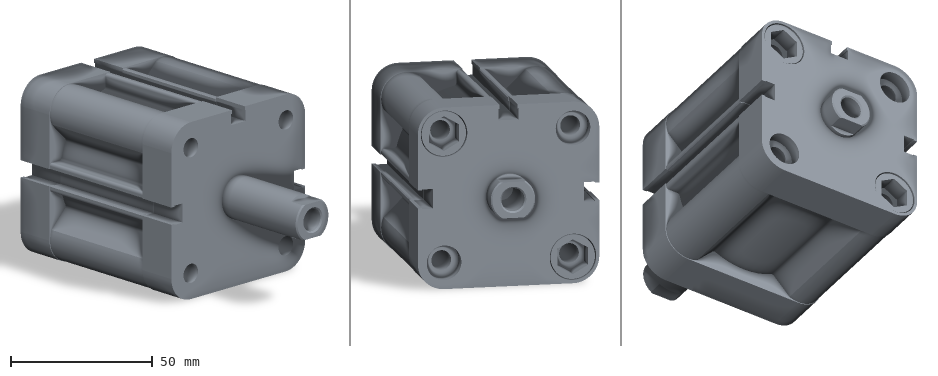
import cadquery as cq
import math


cap_length = 14.7
barrel_length = 47.3
housing_length = barrel_length + 2 * cap_length

side = 65.5
bolt_offset = 23.3
cap_corner_radius = side / 2 - bolt_offset

barrel_inset = 0.2
barrel_half = side / 2 - barrel_inset
arm_end_radius = cap_corner_radius - barrel_inset
tube_radius = 27.6
arm_width = 17.3
arm_angles = (45, 135, 225, 315)
arm_root_fillet = 1.0
rib_half_width = 5.4
rib_top_fillet = 1.1
rib_root_fillet = 1.0

slot_angles = (-90, 0, 90)
cap_slot_lip_half = 3.2
cap_slot_half = 3.5
cap_slot_depth = 5.5
slot_lip_thickness = 1.5
slot_lip_chamfer = 0.4

bolt_hole_diameter = 7.1
counterbore_diameter = 12.5
counterbore_depth = 4.8

screw_diameter = 16.0
screw_length = 8.2
screw_clearance = 0.4
screw_setback = 0.4
socket_across_flats = 10.9
socket_depth = 6.4

rod_length = 122.5
rod_diameter = 16.0
rod_start = -7.8
rod_chamfer = 0.5
flats_across = 13.0
flats_length = 6.0
flats_shoulder_run = 0.4
rod_hole_diameter = 8.3
rod_hole_mouth_diameter = 9.4
rod_hole_depth = 19.6
drill_point_angle = 118

screw_corners = [(bolt_offset, bolt_offset), (-bolt_offset, -bolt_offset)]
plain_corners = [(-bolt_offset, bolt_offset), (bolt_offset, -bolt_offset)]
bolt_corners = screw_corners + plain_corners

tolerance = 0.01


def section_plane(x):
    """Cross-section plane at x, with local axes along Y and Z."""
    return cq.Workplane("YZ", origin=(x, 0, 0))


def about_axis(body, angle):
    return body.rotate((0, 0, 0), (1, 0, 0), angle)


def make_cap(x):
    return (
        section_plane(x).rect(side, side).extrude(cap_length)
        .edges("|X").fillet(cap_corner_radius)
    )


def make_rib():
    """Raised bar on top of the tube that carries a slot."""
    return (
        section_plane(cap_length)
        .center(0, barrel_half / 2).rect(2 * rib_half_width, barrel_half).extrude(barrel_length)
        .edges("|X and >Z").fillet(rib_top_fillet)
    )


def is_root(edge):
    """True for a lengthwise edge where an arm or a rib meets the tube."""
    middle = edge.Center()
    return abs(math.hypot(middle.y, middle.z) - tube_radius) < tolerance


def is_rib_root(edge):
    middle = edge.Center()
    return is_root(edge) and min(abs(middle.y), abs(middle.z)) < rib_half_width + tolerance


def is_arm_root(edge):
    return is_root(edge) and not is_rib_root(edge)


def make_arm():
    """Flat-sided arm on top of the tube, with a rounded end about a bolt axis."""
    half_width = arm_width / 2
    bolt_radius = math.hypot(bolt_offset, bolt_offset)
    flat_end = bolt_radius + math.sqrt(arm_end_radius**2 - half_width**2)
    return (
        section_plane(cap_length)
        .moveTo(-half_width, 0)
        .lineTo(-half_width, flat_end)
        .threePointArc((0, bolt_radius + arm_end_radius), (half_width, flat_end))
        .lineTo(half_width, 0)
        .close().extrude(barrel_length)
    )


def make_barrel():
    """Tube with a diagonal arm to each bolt and a rib for each slot."""
    barrel = section_plane(cap_length).circle(tube_radius).extrude(barrel_length)
    for angle in arm_angles:
        barrel = barrel.union(about_axis(make_arm(), angle))
    for angle in slot_angles:
        barrel = barrel.union(about_axis(make_rib(), angle))
    barrel = barrel.edges("|X").filter(is_arm_root).fillet(arm_root_fillet)
    return barrel.edges("|X").filter(is_rib_root).fillet(rib_root_fillet)


def make_slot(x, length, lip_half, inner_half, floor, lip_bottom):
    """Cutter for one T-shaped slot on top, from its floor height to above the top face."""
    height = side - floor
    opening = section_plane(x).center(0, floor + height / 2).rect(2 * lip_half, height).extrude(length)
    inner_height = lip_bottom - floor
    inner = (
        section_plane(x).center(0, floor + inner_height / 2)
        .rect(2 * inner_half, inner_height).extrude(length)
    )
    return opening.union(inner)


def make_cap_slot(x):
    top = side / 2
    return make_slot(x, cap_length, cap_slot_lip_half, cap_slot_half,
                     top - cap_slot_depth, top - slot_lip_thickness)


def make_barrel_slot():
    lip_half = cap_slot_lip_half - barrel_inset
    slot = make_slot(cap_length, barrel_length, lip_half, cap_slot_half - barrel_inset,
                     side / 2 - cap_slot_depth + barrel_inset, barrel_half - slot_lip_thickness)
    mouth = (
        section_plane(cap_length)
        .moveTo(-lip_half, barrel_half - slot_lip_chamfer)
        .lineTo(-lip_half - slot_lip_chamfer, barrel_half)
        .lineTo(lip_half + slot_lip_chamfer, barrel_half)
        .lineTo(lip_half, barrel_half - slot_lip_chamfer)
        .close().extrude(barrel_length)
    )
    return slot.union(mouth)


def make_housing():
    far_cap_start = cap_length + barrel_length
    housing = make_barrel().union(make_cap(0)).union(make_cap(far_cap_start))
    slots = [make_cap_slot(0), make_barrel_slot(), make_cap_slot(far_cap_start)]
    for slot in slots:
        for angle in slot_angles:
            housing = housing.cut(about_axis(slot, angle))

    end_face = section_plane(0)
    bolt_holes = end_face.pushPoints(bolt_corners).circle(bolt_hole_diameter / 2).extrude(housing_length)
    counterbores = (
        end_face.pushPoints(plain_corners).circle(counterbore_diameter / 2).extrude(counterbore_depth)
    )
    recess_radius = screw_diameter / 2 + screw_clearance
    recess_depth = screw_setback + screw_length
    screw_recesses = end_face.pushPoints(screw_corners).circle(recess_radius).extrude(recess_depth)
    rod_bore = end_face.circle(rod_diameter / 2).extrude(housing_length)
    return housing.cut(bolt_holes).cut(counterbores).cut(screw_recesses).cut(rod_bore)


def make_screw(corner):
    """Hollow round screw with a hexagon socket whose points face up and down."""
    face = section_plane(screw_setback).center(*corner)
    blank = face.circle(screw_diameter / 2).extrude(screw_length)
    bore = face.circle(bolt_hole_diameter / 2).extrude(screw_length)
    across_points = socket_across_flats / math.cos(math.radians(30))
    socket = face.transformed(rotate=(0, 0, 30)).polygon(6, across_points).extrude(socket_depth)
    return blank.cut(bore).cut(socket)


def make_flat_cutter():
    """Cutter for the wrench flat on the +Z side of the -X rod end, with a leaning shoulder."""
    flat_height = flats_across / 2
    rod_radius = rod_diameter / 2
    flat_end = rod_start + flats_length
    return (
        cq.Workplane("XZ")
        .moveTo(rod_start, flat_height)
        .lineTo(flat_end, flat_height)
        .lineTo(flat_end + flats_shoulder_run, rod_radius)
        .lineTo(rod_start, rod_radius)
        .close().extrude(rod_radius, both=True)
    )


def make_rod_hole():
    """Cutter for the countersunk drilled hole in the -X rod end."""
    hole_radius = rod_hole_diameter / 2
    mouth_radius = rod_hole_mouth_diameter / 2
    mouth_depth = mouth_radius - hole_radius
    point_length = hole_radius / math.tan(math.radians(drill_point_angle / 2))
    return (
        cq.Workplane("XY")
        .moveTo(rod_start, 0)
        .lineTo(rod_start, mouth_radius)
        .lineTo(rod_start + mouth_depth, hole_radius)
        .lineTo(rod_start + rod_hole_depth, hole_radius)
        .lineTo(rod_start + rod_hole_depth + point_length, 0)
        .close().revolve(360, (0, 0, 0), (1, 0, 0))
    )


def make_rod():
    """Round rod with the same flats and hole at both ends."""
    rod = section_plane(rod_start).circle(rod_diameter / 2).extrude(rod_length)
    rod = rod.faces("<X or >X").chamfer(rod_chamfer)
    flat = make_flat_cutter()
    end_features = [flat, about_axis(flat, 180), make_rod_hole()]
    rod_middle = (rod_start + rod_length / 2, 0, 0)
    for feature in end_features:
        rod = rod.cut(feature).cut(feature.mirror("YZ", rod_middle))
    return rod


housing = make_housing()
rod = make_rod()
screws = [make_screw(corner) for corner in screw_corners]

result = cq.Compound.makeCompound([housing.val(), rod.val(), *[screw.val() for screw in screws]])